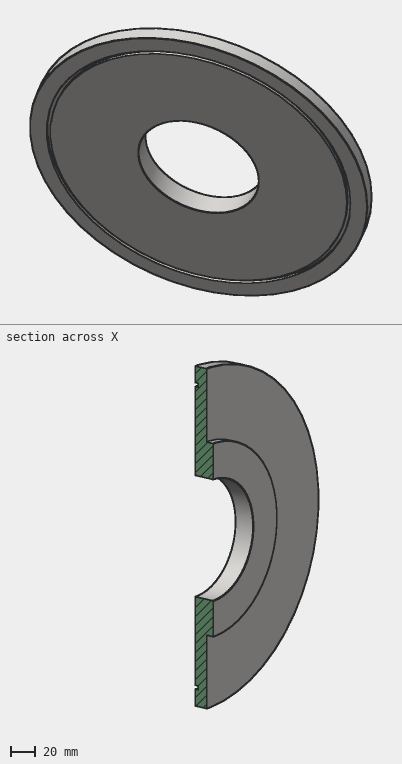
import cadquery as cq

disc_diameter = 290.0
total_thickness = 19.0
hub_height = 7.0
hub_diameter = 165.0
bore_diameter = 103.0

groove_outer_diameter = 261.0
groove_width = 3.2
groove_depth = 3.0

edge_chamfer = 0.44

disc_thickness = total_thickness - hub_height
groove_inner_diameter = groove_outer_diameter - 2 * groove_width


def cylinder(diameter, start_y, length):
    """Solid cylinder on the Y axis, from start_y toward +Y."""
    base = cq.Workplane("XZ", origin=(0, start_y, 0))
    return base.circle(diameter / 2).extrude(-length)


def ring_groove():
    """Ring of material to remove from the front face at Y = 0."""
    outer = cylinder(groove_outer_diameter, 0, groove_depth)
    inner = cylinder(groove_inner_diameter, 0, groove_depth)
    return outer.cut(inner)


disc = cylinder(disc_diameter, 0, disc_thickness).edges().chamfer(edge_chamfer)
hub = cylinder(hub_diameter, disc_thickness, hub_height).edges(">Y").chamfer(edge_chamfer)
bore = cylinder(bore_diameter, 0, total_thickness)

body = disc.union(hub).cut(bore)
bore_edges = cq.selectors.RadiusNthSelector(0)
body = body.edges(bore_edges).chamfer(edge_chamfer)

result = body.cut(ring_groove())